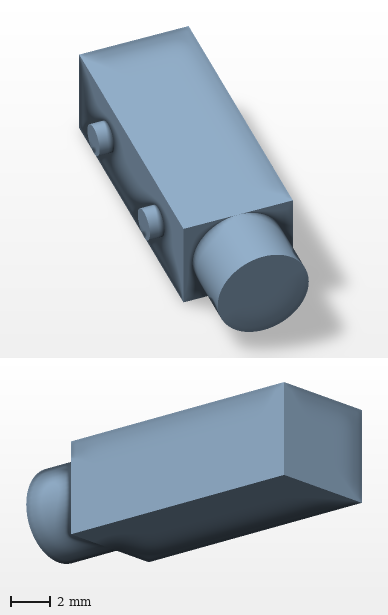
import cadquery as cq

total_length = 18.0
total_depth = 6.8
height = 5.0

barrel_length = 3.5
barrel_diameter = height

pin_diameter = 1.7
pin_length = 0.8
first_pin_x = 4.0
pin_spacing = 7.0
pin_rise = 0.2

body_length = total_length - barrel_length
body_depth = total_depth - pin_length


def make_body():
    """Block from X = 0, centred on Y and Z."""
    return cq.Workplane("XY").box(body_length, body_depth, height, centered=(False, True, True))


def make_barrel():
    """Cylinder along +X, centred on the end of the block."""
    return (
        cq.Workplane("YZ", origin=(body_length, 0, 0))
        .circle(barrel_diameter / 2)
        .extrude(barrel_length)
    )


def make_pin(x):
    """Pin standing out of the -Y face."""
    return (
        cq.Workplane("XZ", origin=(x, -body_depth / 2, pin_rise))
        .circle(pin_diameter / 2)
        .extrude(pin_length)
    )


result = make_body().union(make_barrel())
for pin_x in (first_pin_x, first_pin_x + pin_spacing):
    result = result.union(make_pin(pin_x))